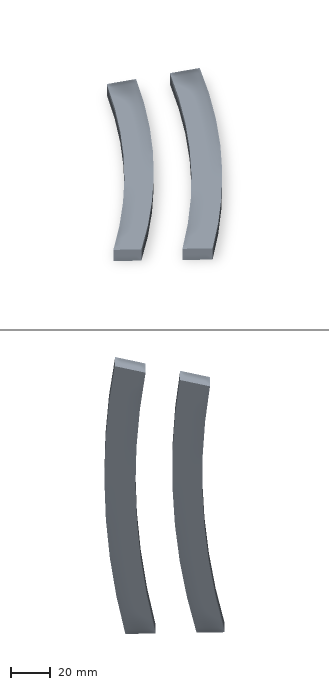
import cadquery as cq
import math

THICKNESS = 6.35
LENGTH = 187.95
CUT_ANGLE = 71.2

UPPER_START_TOP = 111.33
UPPER_START_BOTTOM = 95.25
UPPER_END_TOP = 47.4
UPPER_END_BOTTOM = 33.0
UPPER_RADIUS = 637.0

LOWER_START_TOP = 77.0
LOWER_START_BOTTOM = 61.25
LOWER_END_TOP = 13.4
LOWER_END_BOTTOM = 0.0
LOWER_RADIUS = 587.0


def end_corner(y):
    """Point at height y on the slanted end line."""
    return (LENGTH - (UPPER_END_TOP - y) / math.tan(math.radians(CUT_ANGLE)), y)


def arc_crown(start, end, radius):
    """Middle point of the upward-bulging arc between two points, start left of end."""
    run = end[0] - start[0]
    rise = end[1] - start[1]
    chord = math.hypot(run, rise)
    sagitta = radius - math.sqrt(radius**2 - (chord / 2) ** 2)
    middle_x = (start[0] + end[0]) / 2
    middle_y = (start[1] + end[1]) / 2
    return (middle_x - sagitta * rise / chord, middle_y + sagitta * run / chord)


def curved_bar(start_top, start_bottom, end_top, end_bottom, radius):
    """Flat bar between two arcs of equal radius."""
    top_left = (0, start_top)
    bottom_left = (0, start_bottom)
    top_right = end_corner(end_top)
    bottom_right = end_corner(end_bottom)
    return (
        cq.Workplane("XY")
        .moveTo(*top_left)
        .threePointArc(arc_crown(top_left, top_right, radius), top_right)
        .lineTo(*bottom_right)
        .threePointArc(arc_crown(bottom_left, bottom_right, radius), bottom_left)
        .close()
        .extrude(THICKNESS)
    )


upper_bar = curved_bar(
    UPPER_START_TOP, UPPER_START_BOTTOM, UPPER_END_TOP, UPPER_END_BOTTOM, UPPER_RADIUS
)
lower_bar = curved_bar(
    LOWER_START_TOP, LOWER_START_BOTTOM, LOWER_END_TOP, LOWER_END_BOTTOM, LOWER_RADIUS
)

result = cq.Compound.makeCompound([upper_bar.val(), lower_bar.val()])